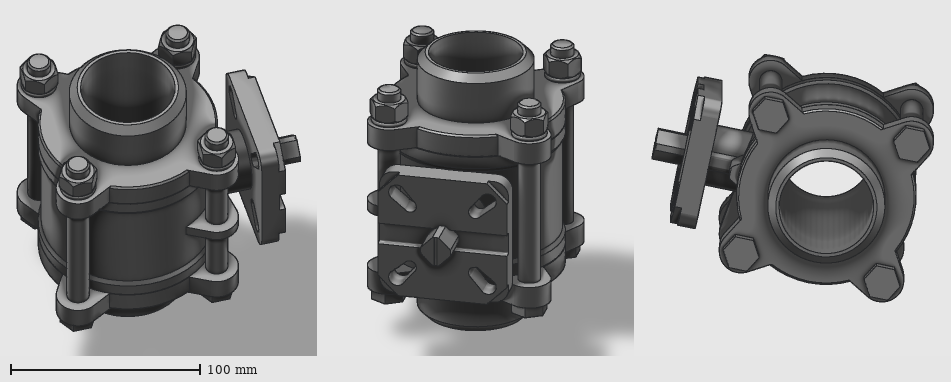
import cadquery as cq
import math


LENGTH = 150.0
PIPE_DIAMETER = 62.0
BORE_DIAMETER = 50.0
WELD_BEVEL = 4.2
BODY_RADIUS = 92.0 / 2
COLLAR_RADIUS = 95.0 / 2
COLLAR_START = 26.4
COLLAR_TAPER = 2.4
COLLAR_END = 35.4

FLANGE_INNER = 35.8
FLANGE_THICKNESS = 12.0
FLANGE_OUTER = FLANGE_INNER + FLANGE_THICKNESS
FLANGE_CHAMFER = 1.0
BOLT_OFFSET = 38.1
EAR_RADIUS = 11.5
EAR_SIDE_ANGLE = 30.0
EAR_SIDE_LENGTH = 15.0

SHANK_DIAMETER = 12.0
STUD_DIAMETER = 12.5
STUD_TOP = 66.8
STUD_CHAMFER = 1.0
HEAD_ACROSS_FLATS = 17.0
HEAD_HEIGHT = 6.6
WASHER_DIAMETER = 19.0
WASHER_THICKNESS = 2.4
NUT_ACROSS_FLATS = 18.0
NUT_HEIGHT = 10.8
NUT_CHAMFER = 1.8

LUG_THICKNESS = 5.7
LUG_SIDE_ANGLE = 8.3
LUG_SIDE_LENGTH = 28.5

NECK_DIAMETER = 32.4
PLATE_SIZE = 70.2
PLATE_INNER = 63.8
PLATE_THICKNESS = 13.0
PLATE_CORNER_RADIUS = 8.2
PLATE_CORNER_CHAMFER = 11.0
CHAMFERED_DEPTH = 3.6
NOTCH_WIDTH = 12.0
NOTCH_DEPTH = 3.3
NOTCH_ROUNDING = 0.8
SLOT_OUTER_DISTANCE = 35.0
SLOT_INNER_DISTANCE = 25.0
SLOT_OUTER_WIDTH = 9.0
SLOT_INNER_WIDTH = 7.0
RIB_TIP_WIDTH = 6.6
RIB_SIDE_ANGLE = 30.0
RIB_ROUNDING = 2.0
RIB_DEPTH = 12.0
RIB_BOTTOM = 18.3
RIB_OUTER = 51.9

STEM_END = 92.5
STEM_ACROSS_FLATS = 14.0
STEM_WIDTH = 16.2
STEM_GROOVE_WIDTH = 1.5
STEM_GROOVE_DEPTH = 0.5


def polar(radius, degrees):
    angle = math.radians(degrees)
    return cq.Vector(radius * math.cos(angle), radius * math.sin(angle))


def cylinder(diameter, bottom, top):
    return cq.Workplane("XY").workplane(offset=bottom).circle(diameter / 2).extrude(top - bottom)


def ear_outline(upper_angle, upper_length):
    """Ear around the (+X, +Y) bolt axis; the side towards +Y slopes by upper_angle."""
    centre = cq.Vector(BOLT_OFFSET, BOLT_OFFSET)
    upper_tangent = centre + polar(EAR_RADIUS, 90 + upper_angle)
    lower_tangent = centre + polar(EAR_RADIUS, -EAR_SIDE_ANGLE)
    tip = centre + polar(EAR_RADIUS, 45)
    upper_root = upper_tangent + polar(upper_length, 180 + upper_angle)
    lower_root = lower_tangent + polar(EAR_SIDE_LENGTH, 270 - EAR_SIDE_ANGLE)
    return (
        cq.Workplane("XY")
        .moveTo(upper_tangent.x, upper_tangent.y)
        .threePointArc(tip.toTuple()[:2], lower_tangent.toTuple()[:2])
        .lineTo(lower_root.x, lower_root.y)
        .lineTo(0, 0)
        .lineTo(upper_root.x, upper_root.y)
        .close()
    )


def make_body():
    """Body barrel with a collar at each end."""
    body = cylinder(2 * BODY_RADIUS, -FLANGE_INNER, FLANGE_INNER)
    collar = (
        cq.Workplane("XZ")
        .moveTo(0, COLLAR_START)
        .lineTo(BODY_RADIUS, COLLAR_START)
        .lineTo(COLLAR_RADIUS, COLLAR_START + COLLAR_TAPER)
        .lineTo(COLLAR_RADIUS, COLLAR_END)
        .lineTo(0, COLLAR_END)
        .close()
        .revolve(360, (0, 0), (0, 1))
    )
    return body.union(collar).union(collar.mirror("XY"))


def make_flange():
    """Upper flange: a disc with its outer edge chamfered and four full-height ears."""
    flange = cylinder(2 * COLLAR_RADIUS, 0, FLANGE_THICKNESS).faces(">Z").edges().chamfer(FLANGE_CHAMFER)
    ear = ear_outline(EAR_SIDE_ANGLE, EAR_SIDE_LENGTH).extrude(FLANGE_THICKNESS)
    for quarter in range(4):
        flange = flange.union(ear.rotate((0, 0, 0), (0, 0, 1), 90 * quarter))
    return flange.translate((0, 0, FLANGE_INNER))


def across_corners(across_flats):
    return across_flats / math.cos(math.pi / 6)


def hexagon(across_flats, height, corner_angle):
    prism = cq.Workplane("XY").polygon(6, across_corners(across_flats)).extrude(height)
    return prism.rotate((0, 0, 0), (0, 0, 1), corner_angle)


def make_washer():
    """Washer with a fully rounded rim."""
    half_thickness = WASHER_THICKNESS / 2
    rim_radius = WASHER_DIAMETER / 2
    face_radius = rim_radius - half_thickness
    return (
        cq.Workplane("XZ")
        .lineTo(face_radius, 0)
        .threePointArc((rim_radius, half_thickness), (face_radius, WASHER_THICKNESS))
        .lineTo(0, WASHER_THICKNESS)
        .close()
        .revolve(360, (0, 0), (0, 1))
    )


def make_fastener(nut_angle):
    """Bolt with head below the lower flange, washer and nut above the upper one."""
    head = hexagon(HEAD_ACROSS_FLATS, HEAD_HEIGHT, 90).translate((0, 0, -FLANGE_OUTER - HEAD_HEIGHT))
    shank = cylinder(SHANK_DIAMETER, -FLANGE_OUTER, FLANGE_INNER)
    stud = cylinder(STUD_DIAMETER, FLANGE_INNER, STUD_TOP).faces(">Z").edges().chamfer(STUD_CHAMFER)
    washer = make_washer().translate((0, 0, FLANGE_OUTER))
    nut_envelope = cylinder(across_corners(NUT_ACROSS_FLATS), 0, NUT_HEIGHT).edges().chamfer(NUT_CHAMFER)
    nut = hexagon(NUT_ACROSS_FLATS, NUT_HEIGHT, nut_angle).intersect(nut_envelope)
    nut = nut.translate((0, 0, FLANGE_OUTER + WASHER_THICKNESS))
    return head.union(shank).union(stud).union(washer).union(nut)


def make_rib(length):
    """Tapered rib along +X with its rounded tip at Z = 0 and its root below."""
    half_tip = RIB_TIP_WIDTH / 2
    half_root = half_tip + RIB_DEPTH * math.tan(math.radians(RIB_SIDE_ANGLE))
    return (
        cq.Workplane("YZ")
        .polyline([(-half_tip, 0), (half_tip, 0), (half_root, -RIB_DEPTH), (-half_root, -RIB_DEPTH)])
        .close()
        .extrude(length)
        .edges("|X and >Z")
        .fillet(RIB_ROUNDING)
    )


def make_slot():
    """Radial slot along +X whose straight sides are tangent to both round ends."""
    outer_radius = SLOT_OUTER_WIDTH / 2
    inner_radius = SLOT_INNER_WIDTH / 2
    narrowing = (outer_radius - inner_radius) / (SLOT_OUTER_DISTANCE - SLOT_INNER_DISTANCE)
    tangent_angle = math.degrees(math.acos(narrowing))
    outer_tangent = polar(outer_radius, tangent_angle) + cq.Vector(SLOT_OUTER_DISTANCE, 0)
    inner_tangent = polar(inner_radius, tangent_angle) + cq.Vector(SLOT_INNER_DISTANCE, 0)
    return (
        cq.Workplane("XY")
        .moveTo(inner_tangent.x, inner_tangent.y)
        .lineTo(outer_tangent.x, outer_tangent.y)
        .threePointArc((SLOT_OUTER_DISTANCE + outer_radius, 0), (outer_tangent.x, -outer_tangent.y))
        .lineTo(inner_tangent.x, -inner_tangent.y)
        .threePointArc((SLOT_INNER_DISTANCE - inner_radius, 0), (inner_tangent.x, inner_tangent.y))
        .close()
        .extrude(PLATE_THICKNESS)
    )


def make_plate():
    """Square actuator plate, built around the Z axis with its outer face up."""
    plate = (
        cq.Workplane("XY")
        .rect(PLATE_SIZE, PLATE_SIZE)
        .extrude(PLATE_THICKNESS - CHAMFERED_DEPTH)
        .edges("|Z")
        .fillet(PLATE_CORNER_RADIUS)
    )
    chamfered_layer = (
        cq.Workplane("XY")
        .workplane(offset=PLATE_THICKNESS - CHAMFERED_DEPTH)
        .rect(PLATE_SIZE, PLATE_SIZE)
        .extrude(CHAMFERED_DEPTH)
        .edges("|Z")
        .chamfer(PLATE_CORNER_CHAMFER)
    )
    notch = (
        cq.Workplane("XY")
        .workplane(offset=PLATE_THICKNESS - NOTCH_DEPTH)
        .rect(PLATE_SIZE, NOTCH_WIDTH)
        .extrude(NOTCH_DEPTH)
        .edges("|X and <Z")
        .fillet(NOTCH_ROUNDING)
    )
    plate = plate.union(chamfered_layer).cut(notch)
    slot = make_slot()
    for quarter in range(4):
        plate = plate.cut(slot.rotate((0, 0, 0), (0, 0, 1), 45 + 90 * quarter))
    return plate


def make_stem():
    """Square stem turned by 45 degrees, corners truncated, with a groove across its end."""
    square = (
        cq.Workplane("XY")
        .rect(STEM_ACROSS_FLATS, STEM_ACROSS_FLATS)
        .extrude(STEM_END)
        .rotate((0, 0, 0), (0, 0, 1), 45)
    )
    stem = square.intersect(cq.Workplane("XY").rect(STEM_WIDTH, STEM_WIDTH).extrude(STEM_END))
    groove = (
        cq.Workplane("XY")
        .workplane(offset=STEM_END - STEM_GROOVE_DEPTH)
        .rect(STEM_GROOVE_WIDTH, STEM_WIDTH)
        .extrude(STEM_GROOVE_DEPTH)
    )
    return stem.cut(groove)


def make_actuator_mount():
    """Neck, plate and stem, turned from the Z axis onto +Y."""
    mount = (
        cylinder(NECK_DIAMETER, 0, PLATE_INNER)
        .union(make_plate().translate((0, 0, PLATE_INNER)))
        .union(make_stem())
    )
    return mount.rotate((0, 0, 0), (1, 0, 0), -90)


def make_stop_ribs():
    """Rib below the neck, mitred into an upright rib running down to the lower collar end."""
    along_neck = (
        make_rib(PLATE_INNER)
        .rotate((0, 0, 0), (1, 0, 0), 180)
        .rotate((0, 0, 0), (0, 0, 1), 90)
        .translate((0, 0, -RIB_BOTTOM))
    )
    upright = (
        make_rib(COLLAR_END)
        .rotate((0, 0, 0), (0, 1, 0), 90)
        .rotate((0, 0, 0), (0, 0, 1), 90)
        .translate((0, RIB_OUTER, 0))
    )
    return along_neck.union(upright)


pipe = cylinder(PIPE_DIAMETER, -LENGTH / 2, LENGTH / 2).edges().chamfer(WELD_BEVEL)
flange = make_flange()
lug = ear_outline(LUG_SIDE_ANGLE, LUG_SIDE_LENGTH).extrude(LUG_THICKNESS / 2, both=True)
bore = cylinder(BORE_DIAMETER, -LENGTH / 2, LENGTH / 2)

result = (
    pipe.union(make_body())
    .union(flange)
    .union(flange.mirror("XY"))
    .union(lug)
    .union(make_actuator_mount())
    .union(make_stop_ribs())
    .cut(bore)
)
for x_side in (-1, 1):
    for y_side in (-1, 1):
        nut_angle = 0 if x_side == y_side else 90
        fastener = make_fastener(nut_angle)
        result = result.union(fastener.translate((x_side * BOLT_OFFSET, y_side * BOLT_OFFSET, 0)))